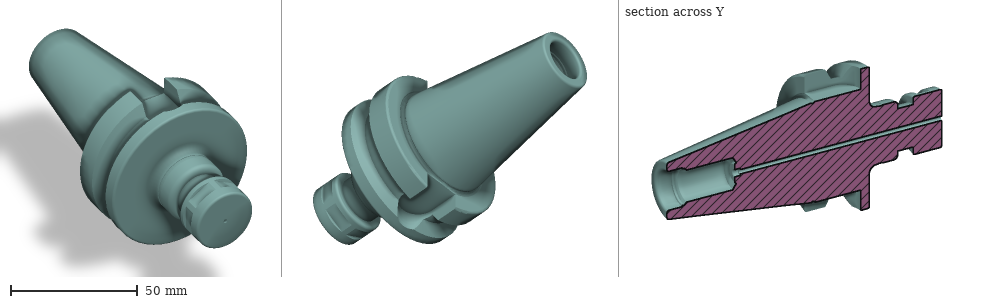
import cadquery as cq
import math

total_length = 125.4

gauge_x = 65.5
gauge_radius = 22.2
taper_slope = 7 / 24 / 2
taper_angle = math.atan(taper_slope)
shank_end_radius = gauge_radius - gauge_x * taper_slope
edge_round = 1.0
land_end_x = 66.0
neck_start_x = 66.3
neck_radius = 21.8

flange_start_x = 67.3
flange_end_x = 92.4
flange_radius = 31.5
groove_floor_radius = 26.5
groove_start_x = 76.9
groove_end_x = 86.9
groove_half_angle = math.radians(30)
groove_flank = (flange_radius - groove_floor_radius) * math.tan(groove_half_angle)
undercut_depth = 0.3
undercut_floor_radius = 23.6
undercut_rim_radius = 24.0

collar_diameter = 26.0
collar_radius = collar_diameter / 2
collar_root_round = 3.0
collar_groove_start_x = 96.4
collar_groove_end_x = 98.2
collar_groove_radius = 12.8
collar_end_x = 105.5
collar_nose_round = 2.3
stem_radius = 9.5

nut_start_x = 112.1
nut_radius = collar_radius
flat_count = 6
flat_distance = 11.8
flat_start_x = 115.0
flat_end_x = 120.3
flat_wall_slope = 0.3

slot_width = 16.0
slot_floor = 22.5
slot_end_x = 88.3

mouth_radius = 8.5
mouth_end_x = 6.9
relief_radius = 8.0
relief_start_x = 7.1
relief_end_x = 8.0
bore_radius = 7.0
bore_end_x = 30.1
insert_radius = 4.6
insert_chamfer = 0.8
drill_half_angle = math.radians(59)
coolant_pocket_radius = 1.5
coolant_pocket_chamfer = 0.3
coolant_pocket_depth = 2.5
coolant_radius = 0.9


def corner_arc(profile, center, radius, start_angle, end_angle):
    """Line to the start of a round, then follow it; angles are in degrees from +X."""

    def point(angle):
        turn = math.radians(angle)
        return (center[0] + radius * math.cos(turn), center[1] + radius * math.sin(turn))

    profile = profile.lineTo(*point(start_angle))
    return profile.threePointArc(point((start_angle + end_angle) / 2), point(end_angle))


def outer_body():
    profile = cq.Workplane("XY").moveTo(0, 0)

    taper_normal = 90 + math.degrees(taper_angle)
    shank_round_center = (
        edge_round,
        shank_end_radius + edge_round * taper_slope - edge_round / math.cos(taper_angle),
    )
    profile = corner_arc(profile, shank_round_center, edge_round, 180, taper_normal)
    profile = profile.lineTo(gauge_x, gauge_radius).lineTo(land_end_x, gauge_radius)
    profile = profile.lineTo(neck_start_x, neck_radius)

    undercut_x = flange_start_x + undercut_depth
    neck_center = (undercut_x - edge_round, neck_radius + edge_round)
    profile = corner_arc(profile, neck_center, edge_round, -90, 0)
    profile = profile.lineTo(undercut_x, undercut_floor_radius)
    profile = profile.lineTo(flange_start_x, undercut_rim_radius)

    rim_center_radius = flange_radius - edge_round
    profile = corner_arc(profile, (flange_start_x + edge_round, rim_center_radius), edge_round, 180, 90)
    profile = profile.lineTo(groove_start_x, flange_radius)
    profile = profile.lineTo(groove_start_x + groove_flank, groove_floor_radius)
    profile = profile.lineTo(groove_end_x - groove_flank, groove_floor_radius)
    profile = profile.lineTo(groove_end_x, flange_radius)
    profile = corner_arc(profile, (flange_end_x - edge_round, rim_center_radius), edge_round, 90, 0)

    root_center = (flange_end_x + collar_root_round, collar_radius + collar_root_round)
    profile = corner_arc(profile, root_center, collar_root_round, 180, 270)
    profile = profile.lineTo(collar_groove_start_x, collar_radius)
    profile = profile.lineTo(collar_groove_start_x, collar_groove_radius)
    profile = profile.lineTo(collar_groove_end_x, collar_groove_radius)
    profile = profile.lineTo(collar_groove_end_x, collar_radius)
    nose_center = (collar_end_x - collar_nose_round, collar_radius - collar_nose_round)
    profile = corner_arc(profile, nose_center, collar_nose_round, 90, 0)
    profile = profile.lineTo(collar_end_x, stem_radius).lineTo(nut_start_x, stem_radius)

    nut_center_radius = nut_radius - edge_round
    profile = corner_arc(profile, (nut_start_x + edge_round, nut_center_radius), edge_round, 180, 90)
    profile = corner_arc(profile, (total_length - edge_round, nut_center_radius), edge_round, 90, 0)
    profile = profile.lineTo(total_length, 0).close()
    return profile.revolve(360, (0, 0, 0), (1, 0, 0))


def shank_bore():
    profile = cq.Workplane("XY").moveTo(0, 0)

    mouth_center = (edge_round, mouth_radius + edge_round)
    profile = corner_arc(profile, mouth_center, edge_round, 180, 270)
    profile = profile.lineTo(mouth_end_x, mouth_radius).lineTo(relief_start_x, relief_radius)
    relief_chamfer = relief_radius - bore_radius
    profile = profile.lineTo(relief_end_x, relief_radius)
    profile = profile.lineTo(relief_end_x + relief_chamfer, bore_radius)

    cone_end_x = bore_end_x + (bore_radius - insert_radius) / math.tan(drill_half_angle)
    insert_face_x = cone_end_x - insert_chamfer
    pocket_end_x = insert_face_x + coolant_pocket_depth
    profile = profile.lineTo(bore_end_x, bore_radius).lineTo(cone_end_x, insert_radius)
    profile = profile.lineTo(insert_face_x, insert_radius - insert_chamfer)

    profile = profile.lineTo(insert_face_x, coolant_pocket_radius + coolant_pocket_chamfer)
    profile = profile.lineTo(insert_face_x + coolant_pocket_chamfer, coolant_pocket_radius)
    profile = profile.lineTo(pocket_end_x, coolant_pocket_radius)
    profile = profile.lineTo(pocket_end_x, coolant_radius)
    profile = profile.lineTo(total_length, coolant_radius).lineTo(total_length, 0).close()
    return profile.revolve(360, (0, 0, 0), (1, 0, 0))


def drive_slot():
    """Slot on the +Z side: open towards the shank, with a half-round end."""
    half_width = slot_width / 2
    arc_center_x = slot_end_x - half_width
    return (
        cq.Workplane("XY", origin=(0, 0, slot_floor))
        .moveTo(gauge_x, -half_width)
        .lineTo(arc_center_x, -half_width)
        .threePointArc((slot_end_x, 0), (arc_center_x, half_width))
        .lineTo(gauge_x, half_width)
        .close()
        .extrude(flange_radius - slot_floor)
    )


def wrench_flat():
    """Pocket on the -Y side of the nut whose end walls lean outwards."""
    depth = nut_radius - flat_distance
    return (
        cq.Workplane("XY", origin=(0, 0, -nut_radius))
        .moveTo(flat_start_x, -flat_distance)
        .lineTo(flat_end_x, -flat_distance)
        .lineTo(flat_end_x + flat_wall_slope * depth, -nut_radius)
        .lineTo(flat_start_x - flat_wall_slope * depth, -nut_radius)
        .close()
        .extrude(2 * nut_radius)
    )


def turned(shape, angle):
    return shape.rotate((0, 0, 0), (1, 0, 0), angle)


result = outer_body().cut(shank_bore())
for side in range(2):
    result = result.cut(turned(drive_slot(), side * 180))
for index in range(flat_count):
    result = result.cut(turned(wrench_flat(), index * 360 / flat_count))